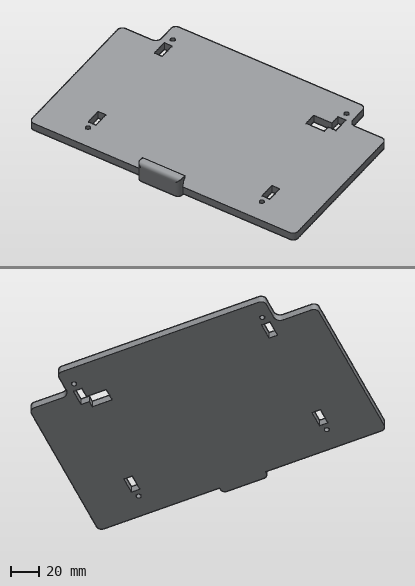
import cadquery as cq

plate_width = 224.0
plate_depth = 142.2
plate_thickness = 6.5
rear_width = 161.5
notch_depth = 21.7
corner_radius = 4.0
notch_radius = 5.0

mount_x = 73.2
hole_diameter = 3.5
hole_rows = (17.0, 128.5)
slot_width = 6.5
slot_length = 13.0
slot_rows = (29.0, 116.0)

opening_left = 54.7
opening_front = 104.4
opening_length = 10.0

hook_width = 35.8
hook_height = 15.7
hook_wall = 5.0
hook_corner_radius = 3.5
hook_top_radius = 3.1
lip_reach = 2.2
lip_thickness = 1.5
lip_arc_height = 4.5


def make_plate():
    shoulder_y = plate_depth - notch_depth
    half_width = plate_width / 2
    half_rear = rear_width / 2
    plate = (
        cq.Workplane("XY")
        .moveTo(-half_width, 0)
        .lineTo(half_width, 0)
        .lineTo(half_width, shoulder_y)
        .lineTo(half_rear, shoulder_y)
        .lineTo(half_rear, plate_depth)
        .lineTo(-half_rear, plate_depth)
        .lineTo(-half_rear, shoulder_y)
        .lineTo(-half_width, shoulder_y)
        .close()
        .extrude(plate_thickness)
    )
    inner_corners = cq.selectors.BoxSelector(
        (-half_rear - notch_radius, shoulder_y - notch_radius, 0),
        (half_rear + notch_radius, shoulder_y + notch_radius, plate_thickness),
    )
    outer_corners = cq.StringSyntaxSelector("|Z") - inner_corners
    plate = plate.edges(outer_corners).fillet(corner_radius)
    return plate.edges("|Z").edges(inner_corners).fillet(notch_radius)


def cut_openings(plate):
    holes = [(side * mount_x, y) for side in (-1, 1) for y in hole_rows]
    slots = [(side * mount_x, y) for side in (-1, 1) for y in slot_rows]
    opening_width = mount_x - slot_width / 2 - opening_left
    cutters = (
        cq.Workplane("XY").pushPoints(holes).circle(hole_diameter / 2).extrude(plate_thickness),
        cq.Workplane("XY").pushPoints(slots).rect(slot_width, slot_length).extrude(plate_thickness),
        cq.Workplane("XY")
        .moveTo(opening_left, opening_front)
        .rect(opening_width, opening_length, centered=False)
        .extrude(plate_thickness),
    )
    for cutter in cutters:
        plate = plate.cut(cutter)
    return plate


def make_hook():
    """Upright wall with a rearward lip, blended by an arc tangent to the wall."""
    lip_bottom = hook_height - lip_thickness
    arc_bottom = lip_bottom - lip_arc_height
    hook = (
        cq.Workplane("YZ")
        .moveTo(-hook_wall, 0)
        .lineTo(0, 0)
        .lineTo(0, arc_bottom)
        .tangentArcPoint((lip_reach, lip_bottom), relative=False)
        .lineTo(lip_reach, hook_height)
        .lineTo(-hook_wall, hook_height)
        .close()
        .extrude(hook_width / 2, both=True)
    )
    hook = hook.faces("<Y").edges(">Z").fillet(hook_top_radius)

    footprint = (
        cq.Workplane("XY")
        .moveTo(-hook_width / 2, -hook_wall)
        .rect(hook_width, hook_wall + lip_reach, centered=False)
        .extrude(hook_height)
        .edges("|Z and <Y")
        .fillet(hook_corner_radius)
    )
    return hook.intersect(footprint)


result = cut_openings(make_plate()).union(make_hook())